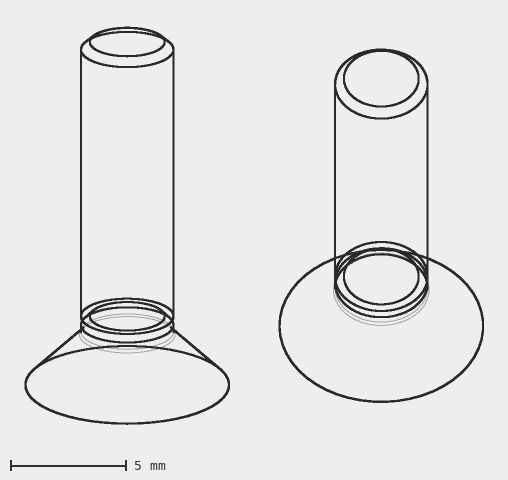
import cadquery as cq
import math

total_length = 16.0
head_radius = 4.4
shank_radius = 2.0
minor_radius = 1.62
tip_chamfer_height = 0.35
thread_start_z = 3.2
runout_height = 0.4

cone_angle = math.radians(45)
blend_radius = 0.2
blend_center_radius = shank_radius + blend_radius


def blend_radius_at(angle):
    """Distance from the axis of the blend arc at an angle below its collar end."""
    return blend_center_radius - blend_radius * math.cos(angle)


cone_top_radius = blend_radius_at(cone_angle)
cone_top_z = (head_radius - cone_top_radius) / math.tan(cone_angle)
blend_top_z = cone_top_z + blend_radius * math.sin(cone_angle)
blend_mid_angle = cone_angle / 2
blend_mid_z = blend_top_z - blend_radius * math.sin(blend_mid_angle)

profile = (
    cq.Workplane("XZ")
    .lineTo(head_radius, 0)
    .lineTo(cone_top_radius, cone_top_z)
    .threePointArc((blend_radius_at(blend_mid_angle), blend_mid_z), (shank_radius, blend_top_z))
    .lineTo(shank_radius, thread_start_z - runout_height)
    .lineTo(minor_radius, thread_start_z)
    .lineTo(shank_radius, thread_start_z)
    .lineTo(shank_radius, total_length - tip_chamfer_height)
    .lineTo(minor_radius, total_length)
    .lineTo(0, total_length)
    .close()
)

result = profile.revolve(360, (0, 0, 0), (0, 1, 0))